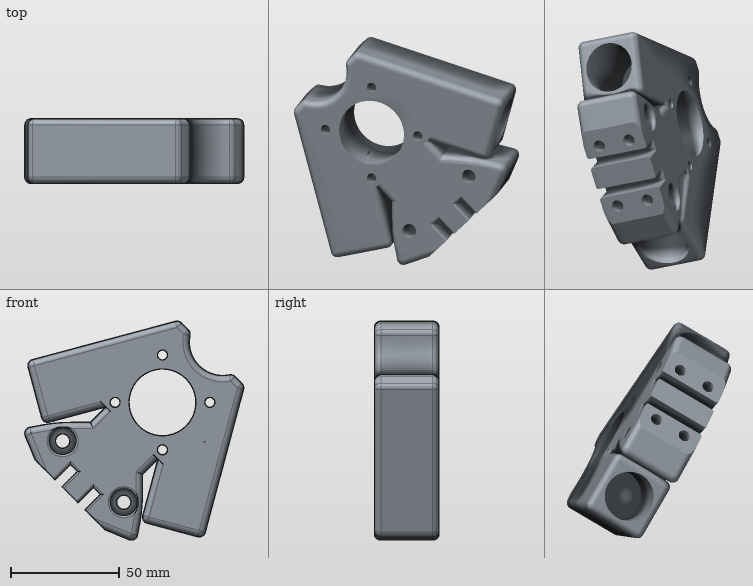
import cadquery as cq
import math

thickness = 30.0
edge_round = 3.0
half_thickness = thickness / 2

arm_width = 30.0
arm_splay = 30.0
arm_length = 90.0
pivot_u = 39.43
crown_u = 32.23
socket_diameter = 22.8
socket_depth = 43.2

main_bore_diameter = 30.8
crown_notch_radius = main_bore_diameter / 2
mount_hole_diameter = 4.5
mount_hole_pitch = 31.0

foot_root_u = -20.0
foot_half_width = 17.1
foot_overlap = 10.0
flare_start_u = -30.0
flare_angle = 45.0
flare_length = 16.2
flare_bend = 11.25
flank_length = 15.7
end_taper = 22.5
foot_end_u = -60.4

bolt_u = -45.3
bolt_v = 20.0
bolt_hole_diameter = 6.5
counterbore_diameter = 12.4
counterbore_depth = 7.0
counterbore_round = 1.0
slot_v = 7.5
slot_width = 4.5
slot_depth = 10.0
slot_round = 1.0
insert_hole_diameter = 5.5
insert_hole_depth = 8.0
insert_v = 15.0
insert_y = 7.5

corner_tolerance = 0.1

front_plane = cq.Plane(origin=(0, -half_thickness, 0), xDir=(1, 0, 1), normal=(0, -1, 0))


def polar_step(start, angle, length):
    """Point reached from start; the angle leans from -u towards +v."""
    lean = math.radians(angle)
    return (start[0] - length * math.cos(lean), start[1] + length * math.sin(lean))


def mirrored(points, middle=None):
    """Points of the upper half, an optional point on the axis, then the reflections."""
    on_axis = [] if middle is None else [middle]
    return points + on_axis + [(u, -v) for u, v in reversed(points)]


def prism(points):
    """Full-thickness plate with the given (u, v) outline."""
    return cq.Workplane(front_plane).polyline(points).close().extrude(-thickness)


def block(u_start, u_end, v_middle, width):
    """Full-thickness rectangular block running along u."""
    low = v_middle - width / 2
    high = v_middle + width / 2
    return prism([(u_start, low), (u_end, low), (u_end, high), (u_start, high)])


def cylinders(points, diameter, depth=thickness):
    """Cylinders that reach from the front face to the given depth."""
    return cq.Workplane(front_plane).pushPoints(points).circle(diameter / 2).extrude(-depth)


def arm_point(along, across):
    """Point of the upper arm, measured along its axis and across it, outwards positive."""
    return polar_step(polar_step((pivot_u, 0), arm_splay, along), arm_splay + 90, across)


def arm_crossing(across, u):
    """Point where a line parallel to the upper arm axis reaches the given u."""
    start_u = arm_point(0, across)[0]
    return arm_point((start_u - u) / math.cos(math.radians(arm_splay)), across)


def round_corners(body, points, radius):
    """Round the upright corner edges that stand on the given (u, v) points."""
    places = [front_plane.toWorldCoords((u, v, -half_thickness)) for u, v in points]

    def stands_on_point(edge):
        return any((edge.Center() - place).Length < corner_tolerance for place in places)

    return body.edges("|Y").filter(stands_on_point).fillet(radius)


def round_rims(body):
    """Round every edge of the front and back faces."""
    return body.faces("<Y or >Y").edges().fillet(edge_round)


def make_arms():
    """Both arms as one rounded chevron with a round notch in its crown."""
    half_width = arm_width / 2
    crotch = (pivot_u - half_width / math.sin(math.radians(arm_splay)), 0)
    outer_corners = [
        arm_crossing(half_width, crown_u),
        arm_point(arm_length, half_width),
        arm_point(arm_length, -half_width),
    ]
    notch_half_chord = math.sqrt(crown_notch_radius**2 - (pivot_u - crown_u) ** 2)
    notch_corner = (crown_u, notch_half_chord)

    arms = prism(mirrored(outer_corners, crotch))
    arms = arms.cut(cylinders([(pivot_u, 0)], 2 * crown_notch_radius))
    arms = round_corners(arms, mirrored(outer_corners + [notch_corner]), edge_round)
    return round_rims(arms)


def make_core():
    """Square-edged wedge that fills the crotch between the two arms."""
    apex = (pivot_u - crown_notch_radius - edge_round, 0)
    return prism(mirrored([arm_crossing(0, foot_root_u)]) + [apex])


def make_foot():
    """Flared clamp foot; its root is buried in the core and its end is cut flat."""
    root = (foot_root_u + foot_overlap, foot_half_width)
    flare_start = (flare_start_u, foot_half_width)
    bend = polar_step(flare_start, flare_angle, flare_length)
    tip = polar_step(bend, flare_angle - flare_bend, flank_length)
    apex = (tip[0] - tip[1] * math.tan(math.radians(end_taper)), 0)

    upper_flank = [flare_start, bend, bend, tip]
    lower_flank = [(u, -v) for u, v in reversed(upper_flank)]
    foot = (
        cq.Workplane(front_plane)
        .moveTo(*root)
        .lineTo(*flare_start)
        .bezier(upper_flank)
        .lineTo(*apex)
        .lineTo(*lower_flank[0])
        .bezier(lower_flank)
        .lineTo(root[0], -root[1])
        .close()
        .extrude(-thickness)
    )
    foot = round_corners(foot, mirrored([tip]), edge_round)
    foot = round_rims(foot)
    return foot.cut(block(apex[0], foot_end_u, 0, 2 * tip[1]))


def cut_motor_mount(body):
    """Main bore and the four screw holes on a square around it, all through."""
    half_pitch = mount_hole_pitch / 2
    mount_points = [(u, v) for u in (-half_pitch, half_pitch) for v in (-half_pitch, half_pitch)]
    body = body.cut(cylinders([(0, 0)], main_bore_diameter))
    return body.cut(cylinders(mount_points, mount_hole_diameter))


def cut_arm_sockets(body):
    """Flat-bottomed round sockets bored into the arm ends along the arm axes."""
    end_u, end_v = arm_point(arm_length, 0)
    pivot = front_plane.toWorldCoords((pivot_u, 0, -half_thickness))
    for side in (1, -1):
        mouth = front_plane.toWorldCoords((end_u, side * end_v, -half_thickness))
        socket = cq.Solid.makeCylinder(socket_diameter / 2, socket_depth, mouth, pivot - mouth)
        body = body.cut(cq.Workplane(socket))
    return body


def counterbore_cutter(u, v):
    """Revolved cutter for a counterbore whose mouth edge is rounded."""
    radius = counterbore_diameter / 2
    mouth_radius = radius + counterbore_round
    middle = counterbore_round * math.sqrt(0.5)
    axis_origin = front_plane.toWorldCoords((u, v, 0))
    profile_plane = cq.Plane(origin=axis_origin, xDir=(1, 0, 0), normal=(0, 0, 1))
    return (
        cq.Workplane(profile_plane)
        .lineTo(mouth_radius, 0)
        .threePointArc((mouth_radius - middle, counterbore_round - middle), (radius, counterbore_round))
        .lineTo(radius, counterbore_depth)
        .lineTo(0, counterbore_depth)
        .close()
        .revolve()
    )


def cut_bolt_holes(body):
    """Through holes with counterbores on the front face."""
    bolt_points = mirrored([(bolt_u, bolt_v)])
    body = body.cut(cylinders(bolt_points, bolt_hole_diameter))
    for u, v in bolt_points:
        body = body.cut(counterbore_cutter(u, v))
    return body


def cut_belt_slots(body):
    """Slots into the flat foot end, rounded along the front and back faces."""
    slot_end_u = foot_end_u + slot_depth
    for side in (1, -1):
        body = body.cut(block(foot_end_u - slot_depth, slot_end_u, side * slot_v, slot_width))

    def is_slot_rim(edge):
        u, v, _ = front_plane.toLocalCoords(edge.Center()).toTuple()
        beside_slot = abs(abs(v) - slot_v) < slot_width / 2 + corner_tolerance
        return beside_slot and u < slot_end_u + corner_tolerance

    return body.faces("<Y or >Y").edges().filter(is_slot_rim).fillet(slot_round)


def cut_insert_holes(body):
    """Blind holes drilled square into the flat foot end."""
    inward = front_plane.xDir
    for v in (-insert_v, insert_v):
        for y in (-insert_y, insert_y):
            mouth = front_plane.toWorldCoords((foot_end_u, v, -half_thickness - y))
            hole = cq.Solid.makeCylinder(insert_hole_diameter / 2, insert_hole_depth, mouth, inward)
            body = body.cut(cq.Workplane(hole))
    return body


result = make_arms().union(make_core()).union(make_foot())
result = cut_motor_mount(result)
result = cut_arm_sockets(result)
result = cut_bolt_holes(result)
result = cut_belt_slots(result)
result = cut_insert_holes(result)